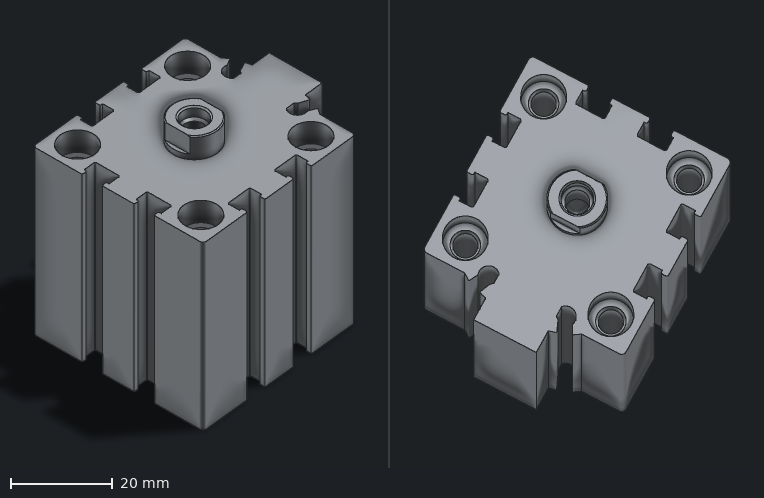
import cadquery as cq
import math

BODY_SIDE = 45.0
TOTAL_LENGTH = 52.5
TOTAL_HEIGHT = 54.0
ROD_STICKOUT = 6.0
HALF_SIDE = BODY_SIDE / 2
BODY_HEIGHT = TOTAL_HEIGHT - ROD_STICKOUT
BACK_END = TOTAL_LENGTH - HALF_SIDE
CORNER_RADIUS = 1.0

SLOT_OFFSET = 6.85
SLOT_GAP = 5.15
SLOT_WIDTH = 6.55
SIDE_SLOT_DEPTH = 4.65
FRONT_SLOT_DEPTH = 4.55
SIDE_LIP = 1.55
FRONT_LIP = 1.4
SLOT_EDGE_RADIUS = 0.45

RIB_WIDTH = 14.0
RIB_HALF = RIB_WIDTH / 2
BEAK_TOP_Y = 25.0
BEAK_TIP = (8.65, 24.55)
BEAK_HEEL = (7.6, 22.15)
BEAK_ROOT_Y = 21.6
BEAK_RADIUS = 0.25
GROOVE_X = 8.6
GROOVE_Y = 20.85
GROOVE_RADIUS = 2.1
GROOVE_START_ANGLE = 20
RIDGE_TIP = (11.55, 23.5)
RIDGE_FOOT_X = 13.05
RIDGE_TIP_RADIUS = 0.1

HOLE_PITCH = 32.5
COUNTERBORE_DIAMETER = 9.0
COUNTERBORE_DEPTH = 5.7
HOLE_DIAMETER = 4.9
HOLE_MOUTH_DIAMETER = 6.0

ROD_DIAMETER = 12.0
ROD_INSERTION = 12.0
ROD_CHAMFER = 0.25
FLAT_SPACING = 10.0
FLAT_LENGTH = 4.6
ROD_HOLE_MOUTH_DIAMETER = 7.2
ROD_RECESS_DIAMETER = 6.4
ROD_RECESS_DEPTH = 2.7
ROD_DRILL_DIAMETER = 4.9
ROD_DRILL_DEPTH = 10.8
ROD_STEP_HEIGHT = 0.45
DRILL_POINT_ANGLE = 118


def left(point):
    """Mirror image of a point across the YZ plane."""
    return (-point[0], point[1])


def body_outline():
    """Square block with the rear rib, its beaks and the ridges beside the grooves."""
    reach_y = math.sqrt(GROOVE_RADIUS**2 - (GROOVE_X - RIB_HALF) ** 2)
    groove_end = (RIB_HALF, GROOVE_Y - reach_y)
    groove_bottom = (GROOVE_X, GROOVE_Y - GROOVE_RADIUS)
    start_angle = math.radians(GROOVE_START_ANGLE)
    groove_start = (
        GROOVE_X + GROOVE_RADIUS * math.cos(start_angle),
        GROOVE_Y + GROOVE_RADIUS * math.sin(start_angle),
    )

    return (
        cq.Workplane("XY")
        .moveTo(-HALF_SIDE, -HALF_SIDE)
        .lineTo(HALF_SIDE, -HALF_SIDE)
        .lineTo(HALF_SIDE, HALF_SIDE)
        .lineTo(RIDGE_FOOT_X, HALF_SIDE)
        .lineTo(*RIDGE_TIP)
        .lineTo(*groove_start)
        .threePointArc(groove_bottom, groove_end)
        .lineTo(RIB_HALF, BEAK_ROOT_Y)
        .lineTo(*BEAK_HEEL)
        .lineTo(*BEAK_TIP)
        .lineTo(RIB_HALF, BEAK_TOP_Y)
        .lineTo(RIB_HALF, BACK_END)
        .lineTo(-RIB_HALF, BACK_END)
        .lineTo(-RIB_HALF, BEAK_TOP_Y)
        .lineTo(*left(BEAK_TIP))
        .lineTo(*left(BEAK_HEEL))
        .lineTo(-RIB_HALF, BEAK_ROOT_Y)
        .lineTo(*left(groove_end))
        .threePointArc(left(groove_bottom), left(groove_start))
        .lineTo(*left(RIDGE_TIP))
        .lineTo(-RIDGE_FOOT_X, HALF_SIDE)
        .lineTo(-HALF_SIDE, HALF_SIDE)
        .close()
    )


def round_edges(solid, points, radius):
    """Fillet the vertical edges that stand at the given XY points."""
    for x, y in points:
        nearest_edge = cq.selectors.NearestToPointSelector((x, y, BODY_HEIGHT / 2))
        solid = solid.edges("|Z").edges(nearest_edge).fillet(radius)
    return solid


def t_slot(depth, lip):
    """T-slot cutter for the front side, centred on X = 0, with round-edged lips and floor corners."""
    gap_half = SLOT_GAP / 2
    chamber_half = SLOT_WIDTH / 2
    face_y = -HALF_SIDE
    lip_y = face_y + lip
    floor_y = face_y + depth
    radius = SLOT_EDGE_RADIUS
    half_slot = (
        cq.Workplane("XY")
        .moveTo(0, face_y)
        .lineTo(gap_half + radius, face_y)
        .radiusArc((gap_half, face_y + radius), radius)
        .lineTo(gap_half, lip_y - radius)
        .radiusArc((gap_half + radius, lip_y), radius)
        .lineTo(chamber_half, lip_y)
        .lineTo(chamber_half, floor_y - radius)
        .radiusArc((chamber_half - radius, floor_y), -radius)
        .lineTo(0, floor_y)
        .close()
        .extrude(BODY_HEIGHT)
    )
    return half_slot.union(half_slot.mirror("YZ")).clean()


def revolved_cutter(steps):
    """Round cutter about Z from (diameter, height) pairs, listed from the top down."""
    profile = [(0, steps[0][1])] + [(diameter / 2, z) for diameter, z in steps]
    if steps[-1][0] > 0:
        profile.append((0, steps[-1][1]))
    return cq.Workplane("XZ").polyline(profile).close().revolve(360, (0, 0, 0), (0, 1, 0))


def make_housing():
    housing = body_outline().extrude(BODY_HEIGHT)
    corners = [(x, y) for x in (-HALF_SIDE, HALF_SIDE) for y in (-HALF_SIDE, HALF_SIDE)]
    housing = round_edges(housing, corners, CORNER_RADIUS)
    housing = round_edges(housing, [BEAK_TIP, left(BEAK_TIP)], BEAK_RADIUS)
    housing = round_edges(housing, [RIDGE_TIP, left(RIDGE_TIP)], RIDGE_TIP_RADIUS)

    front_slot = t_slot(FRONT_SLOT_DEPTH, FRONT_LIP)
    side_slot = t_slot(SIDE_SLOT_DEPTH, SIDE_LIP)
    for slot, turn in ((front_slot, 0), (side_slot, 90), (side_slot, -90)):
        for offset in (-SLOT_OFFSET, SLOT_OFFSET):
            placed_slot = slot.translate((offset, 0, 0)).rotate((0, 0, 0), (0, 0, 1), turn)
            housing = housing.cut(placed_slot)

    seat_z = BODY_HEIGHT - COUNTERBORE_DEPTH
    mouth_height = (HOLE_MOUTH_DIAMETER - HOLE_DIAMETER) / 2
    drill = revolved_cutter([
        (COUNTERBORE_DIAMETER, BODY_HEIGHT),
        (COUNTERBORE_DIAMETER, seat_z),
        (HOLE_MOUTH_DIAMETER, seat_z),
        (HOLE_DIAMETER, seat_z - mouth_height),
        (HOLE_DIAMETER, 0),
    ])
    for x in (-HOLE_PITCH / 2, HOLE_PITCH / 2):
        for y in (-HOLE_PITCH / 2, HOLE_PITCH / 2):
            housing = housing.cut(drill.translate((x, y, 0)))

    rod_hole = (
        cq.Workplane("XY")
        .workplane(offset=BODY_HEIGHT - ROD_INSERTION)
        .circle(ROD_DIAMETER / 2)
        .extrude(ROD_INSERTION)
    )
    return housing.cut(rod_hole)


def make_rod():
    rod = (
        cq.Workplane("XY")
        .workplane(offset=BODY_HEIGHT - ROD_INSERTION)
        .circle(ROD_DIAMETER / 2)
        .extrude(ROD_INSERTION + ROD_STICKOUT)
        .faces(">Z")
        .chamfer(ROD_CHAMFER)
    )

    flat_cut = (ROD_DIAMETER - FLAT_SPACING) / 2
    flat_center_y = (ROD_DIAMETER + FLAT_SPACING) / 4
    for y in (-flat_center_y, flat_center_y):
        flat = (
            cq.Workplane("XY")
            .workplane(offset=TOTAL_HEIGHT - FLAT_LENGTH)
            .center(0, y)
            .rect(ROD_DIAMETER, flat_cut)
            .extrude(FLAT_LENGTH)
        )
        rod = rod.cut(flat)

    mouth_depth = (ROD_HOLE_MOUTH_DIAMETER - ROD_RECESS_DIAMETER) / 2
    point_height = ROD_DRILL_DIAMETER / 2 / math.tan(math.radians(DRILL_POINT_ANGLE / 2))
    stepped_hole = revolved_cutter([
        (ROD_HOLE_MOUTH_DIAMETER, TOTAL_HEIGHT),
        (ROD_RECESS_DIAMETER, TOTAL_HEIGHT - mouth_depth),
        (ROD_RECESS_DIAMETER, TOTAL_HEIGHT - ROD_RECESS_DEPTH),
        (ROD_DRILL_DIAMETER, TOTAL_HEIGHT - ROD_RECESS_DEPTH - ROD_STEP_HEIGHT),
        (ROD_DRILL_DIAMETER, TOTAL_HEIGHT - ROD_DRILL_DEPTH),
        (0, TOTAL_HEIGHT - ROD_DRILL_DEPTH - point_height),
    ])
    return rod.cut(stepped_hole)


housing = make_housing()
rod = make_rod()
result = cq.Compound.makeCompound([housing.solids().val(), rod.solids().val()])